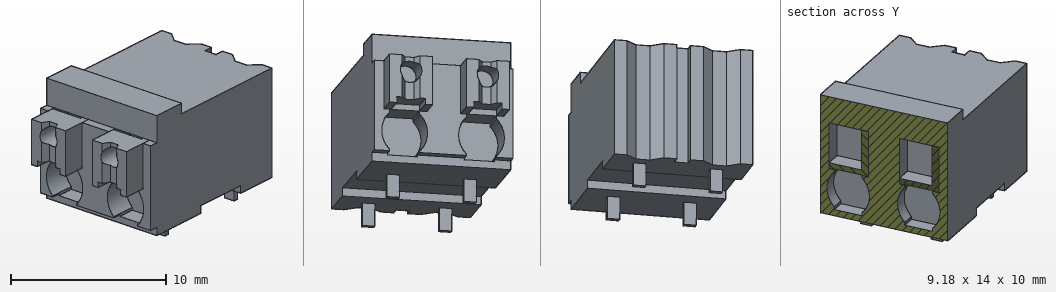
import cadquery as cq


POLE_PITCH = 5.08
POLE_XS = [-POLE_PITCH / 2, POLE_PITCH / 2]

HOUSING_WIDTH = 9.18
HOUSING_LENGTH = 12.32
BODY_HEIGHT = 7.75
RIDGE_HEIGHT = 8.5
RIDGE_LENGTH = 2.5
LIP_LENGTH = 0.63
LIP_BOTTOM = 0.59
LIP_TOP = 6.58
UNDERCUT_START = 5.1
UNDERCUT_END = 9.14
UNDERCUT_HEIGHT = 0.55

REAR_NOTCH_DEPTH = 0.67
V_NOTCH_MOUTH = 2.45
V_NOTCH_FLOOR = 0.94
REAR_SLOT_WIDTH = 0.91

BUTTON_WIDTH = 2.84
BUTTON_BOTTOM = 3.36
BUTTON_PROTRUSION = 1.68
BUTTON_INSERTION = 0.45
BUTTON_POCKET_DEPTH = 2.1
GROOVE_MOUTH = 1.2
GROOVE_FLOOR = 0.6
GROOVE_DEPTH = 0.48
BORE_DIAMETER = 1.41
BORE_Z = 5.6
RELIEF_WIDTH = 1.88
RELIEF_HEIGHT = 0.39
RIB_WIDTH = 0.52

ENTRY_OFFSET = -0.04
ENTRY_WIDTH = 3.02
ENTRY_FLAT_WIDTH = 1.97
ENTRY_BOTTOM = 0.48
ENTRY_CENTER_Z = 1.92
ENTRY_ARC_HALF_HEIGHT = 1.25
ENTRY_DEPTH = 1.89

PIN_WIDTH = 0.81
PIN_THICKNESS = 0.35
PIN_LENGTH = 1.5
FRONT_PIN_Y = 3.63
PIN_ROW_SPACING = 7.03
PIN_YS = [FRONT_PIN_Y, FRONT_PIN_Y + PIN_ROW_SPACING]


def block(x_min, x_max, y_min, y_max, z_min, z_max):
    """Axis-aligned block between the given limits."""
    size = (x_max - x_min, y_max - y_min, z_max - z_min)
    return cq.Workplane("XY").box(*size, centered=False).translate((x_min, y_min, z_min))


def trapezoid_cut(x, y_mouth, y_floor, mouth, floor, z_min, z_max):
    """Upright channel, wider at its mouth than at its floor."""
    return (
        cq.Workplane("XY", origin=(x, 0, z_min))
        .moveTo(-mouth / 2, y_mouth)
        .lineTo(-floor / 2, y_floor)
        .lineTo(floor / 2, y_floor)
        .lineTo(mouth / 2, y_mouth)
        .close()
        .extrude(z_max - z_min)
    )


def housing_blank():
    """Side profile with front lip, top ridge and undercut, extruded over the full width."""
    ridge_end = LIP_LENGTH + RIDGE_LENGTH
    profile = [
        (LIP_LENGTH, 0),
        (UNDERCUT_START, 0),
        (UNDERCUT_START, UNDERCUT_HEIGHT),
        (UNDERCUT_END, UNDERCUT_HEIGHT),
        (UNDERCUT_END, 0),
        (HOUSING_LENGTH, 0),
        (HOUSING_LENGTH, BODY_HEIGHT),
        (ridge_end, BODY_HEIGHT),
        (ridge_end, RIDGE_HEIGHT),
        (LIP_LENGTH, RIDGE_HEIGHT),
        (LIP_LENGTH, LIP_TOP),
        (0, LIP_TOP),
        (0, LIP_BOTTOM),
        (LIP_LENGTH, LIP_BOTTOM),
    ]
    return cq.Workplane("YZ").polyline(profile).close().extrude(HOUSING_WIDTH / 2, both=True)


def button_pocket(x):
    """Recess that guides a button and is open at the top of the front lip."""
    half = BUTTON_WIDTH / 2
    return block(x - half, x + half, 0, BUTTON_POCKET_DEPTH, BUTTON_BOTTOM, LIP_TOP)


def wire_entry(x):
    """Blind opening with bulging sides that meets the button pocket above it."""
    half_flat = ENTRY_FLAT_WIDTH / 2
    half_width = ENTRY_WIDTH / 2
    arc_bottom = ENTRY_CENTER_Z - ENTRY_ARC_HALF_HEIGHT
    arc_top = ENTRY_CENTER_Z + ENTRY_ARC_HALF_HEIGHT
    return (
        cq.Workplane("XZ", origin=(x + ENTRY_OFFSET, 0, 0))
        .moveTo(-half_flat, ENTRY_BOTTOM)
        .lineTo(half_flat, ENTRY_BOTTOM)
        .lineTo(half_flat, arc_bottom)
        .threePointArc((half_width, ENTRY_CENTER_Z), (half_flat, arc_top))
        .lineTo(half_flat, BUTTON_BOTTOM)
        .lineTo(-half_flat, BUTTON_BOTTOM)
        .lineTo(-half_flat, arc_top)
        .threePointArc((-half_width, ENTRY_CENTER_Z), (-half_flat, arc_bottom))
        .close()
        .extrude(-ENTRY_DEPTH)
    )


def make_housing():
    """Housing with the rear notches and, per pole, a button pocket and a wire entry."""
    notch_floor = HOUSING_LENGTH - REAR_NOTCH_DEPTH
    half_slot = REAR_SLOT_WIDTH / 2
    body = housing_blank()
    body = body.cut(block(-half_slot, half_slot, notch_floor, HOUSING_LENGTH, 0, BODY_HEIGHT))
    for x in POLE_XS:
        body = body.cut(
            trapezoid_cut(x, HOUSING_LENGTH, notch_floor, V_NOTCH_MOUTH, V_NOTCH_FLOOR, 0, BODY_HEIGHT)
        )
        body = body.cut(button_pocket(x))
        body = body.cut(wire_entry(x))
    return body


def make_button(x):
    """Release button with a grooved, bored head, a low stem and a full-height side rib."""
    half = BUTTON_WIDTH / 2
    half_relief = RELIEF_WIDTH / 2
    front = -BUTTON_PROTRUSION
    relief_top = BUTTON_BOTTOM + RELIEF_HEIGHT
    button = block(x - half, x + half, front, BUTTON_POCKET_DEPTH, BUTTON_BOTTOM, LIP_TOP)
    step_behind_head = block(
        x - half, x + half - RIB_WIDTH, BUTTON_INSERTION, BUTTON_POCKET_DEPTH, relief_top, LIP_TOP
    )
    groove = trapezoid_cut(
        x, front, front + GROOVE_DEPTH, GROOVE_MOUTH, GROOVE_FLOOR, BUTTON_BOTTOM, LIP_TOP
    )
    relief = block(x - half_relief, x + half_relief, front, 0, BUTTON_BOTTOM, relief_top)
    bore = (
        cq.Workplane("XZ", origin=(x, front, BORE_Z))
        .circle(BORE_DIAMETER / 2)
        .extrude(-BUTTON_PROTRUSION)
    )
    return button.cut(step_behind_head).cut(groove).cut(relief).cut(bore)


def make_pin(x, y):
    """Flat solder pin standing below the housing."""
    half_width = PIN_WIDTH / 2
    half_thickness = PIN_THICKNESS / 2
    return block(x - half_width, x + half_width, y - half_thickness, y + half_thickness, -PIN_LENGTH, 0)


housing = make_housing()
buttons = [make_button(x).val() for x in POLE_XS]
pins = [make_pin(x, y).val() for x in POLE_XS for y in PIN_YS]

result = cq.Compound.makeCompound([housing.val(), *buttons, *pins])